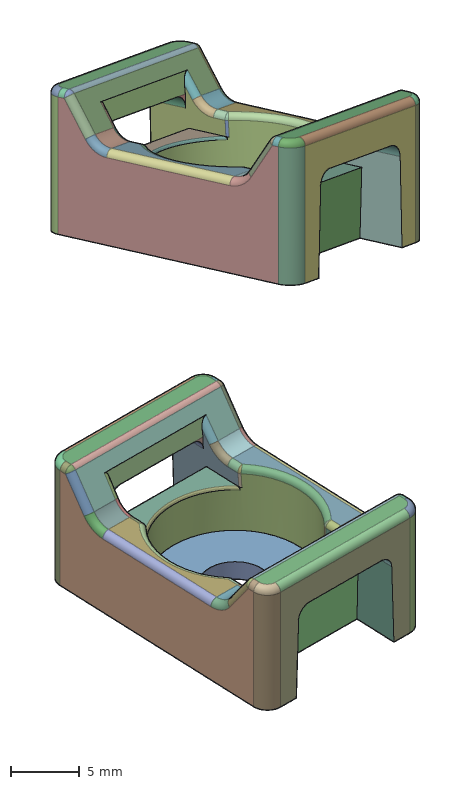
import cadquery as cq
import math

length = 23.1
width = 15.75
height = 11.0
corner_radius = 1.39
edge_round = 0.58

deck_height = 7.23
ramp_foot_x = 6.63
ramp_top_x = 9.31
ramp_foot_radius = 1.85

slot_width_at_base = 9.8
slot_height = 8.05
slot_draft = 1.8
slot_corner_radius = 1.1
block_length = 15.95
block_length_at_base = 15.35
block_height = 5.48
pocket_length_at_base = 16.5
pocket_draft = 5.5
deck_opening_round = 0.5

bore_diameter = 12.96
bore_floor_height = 1.6
screw_hole_diameter = 5.34
block_rim_round = 0.2
bore_mouth_round = 0.35

TOLERANCE = 0.012
BORE_TOLERANCE = 0.05


def make_body():
    """Rounded box with a ramped saddle across its top."""
    body = cq.Workplane("XY").box(length, width, height, centered=(True, True, False))
    body = body.edges("|Z").fillet(corner_radius)
    saddle = (
        cq.Workplane("XZ")
        .polyline([
            (-ramp_top_x, height),
            (-ramp_foot_x, deck_height),
            (ramp_foot_x, deck_height),
            (ramp_top_x, height),
        ])
        .close()
        .extrude(width / 2, both=True)
        .edges("|Y and <Z")
        .fillet(ramp_foot_radius)
    )
    return body.cut(saddle)


def make_block_rim_cut():
    """Ring that rounds the bore rim on the block, kept between the channel sides."""
    bore_radius = bore_diameter / 2
    arc_center_x = bore_radius + block_rim_round
    arc_center_z = block_height - block_rim_round
    diagonal = block_rim_round * math.sqrt(0.5)
    ring = (
        cq.Workplane("XZ")
        .moveTo(bore_radius, arc_center_z)
        .threePointArc((arc_center_x - diagonal, arc_center_z + diagonal), (arc_center_x, block_height))
        .lineTo(bore_radius, block_height)
        .close()
        .revolve(360, (0, 0, 0), (0, 1, 0))
    )
    return ring.intersect(slot_prism(height))


def is_outer_top_edge(edge):
    """True for the rim of the end walls and the long edges of the saddle."""
    center = edge.Center()
    on_wall_top = center.z > height - TOLERANCE
    on_long_side = abs(center.y) > width / 2 - TOLERANCE and center.z > deck_height - TOLERANCE
    is_upright = edge.geomType() == "LINE" and abs(edge.tangentAt(0).z) > 0.23 - TOLERANCE
    return (on_wall_top or on_long_side) and not is_upright


def trapezoid_prism(plane, base_half, top_half, base_height, top_height, depth):
    """Symmetric trapezoid in an upright plane, extruded evenly to both sides of it."""
    return (
        cq.Workplane(plane)
        .polyline([
            (-base_half, base_height),
            (base_half, base_height),
            (top_half, top_height),
            (-top_half, top_height),
        ])
        .close()
        .extrude(depth / 2, both=True)
    )


def slot_prism(prism_height):
    """Channel along the full length whose sides lean inward with the slot draft."""
    base_half = slot_width_at_base / 2
    top_half = base_half - prism_height * math.tan(math.radians(slot_draft))
    return trapezoid_prism("YZ", base_half, top_half, 0, prism_height, length)


def make_channel():
    """Space for the cable tie: through both end walls and open above the block."""
    through_slot = slot_prism(slot_height).edges("|X and >Z").fillet(slot_corner_radius)
    pocket_base_half = pocket_length_at_base / 2
    pocket_top_half = pocket_base_half + (height - slot_height) * math.tan(math.radians(pocket_draft))
    pocket_ends = trapezoid_prism("XZ", pocket_base_half, pocket_top_half, slot_height, height, width)
    pocket_foot = trapezoid_prism("XZ", pocket_base_half, pocket_base_half, 0, slot_height, width)
    pocket = slot_prism(height).intersect(pocket_ends.union(pocket_foot))
    block = trapezoid_prism("XZ", block_length_at_base / 2, block_length / 2, 0, block_height, width)
    return through_slot.union(pocket).cut(block)


def make_bore():
    depth = height - bore_floor_height
    return cq.Workplane("XY").workplane(offset=bore_floor_height).circle(bore_diameter / 2).extrude(depth)


def is_deck_opening_edge(edge):
    """True where the channel sides and the bore break through the saddle surface."""
    center = edge.Center()
    box = edge.BoundingBox()
    inside_walls = abs(center.x) < pocket_length_at_base / 2 - TOLERANCE
    inside_sides = abs(center.y) < bore_diameter / 2 + TOLERANCE
    along_x = box.xlen > TOLERANCE
    return inside_walls and inside_sides and along_x and box.zmin > deck_height - TOLERANCE


def is_bore_mouth_edge(edge):
    """True for the upright edges where the channel sides meet the bore."""
    center = edge.Center()
    on_bore = abs(math.hypot(center.x, center.y) - bore_diameter / 2) < BORE_TOLERANCE
    above_block = edge.BoundingBox().zmin > block_height - TOLERANCE
    return on_bore and above_block and edge.BoundingBox().zlen > deck_height - block_height - TOLERANCE


def fillet_where(part, condition, radius):
    chosen = [edge for edge in part.edges().vals() if condition(edge)]
    return part.newObject(chosen).fillet(radius)


result = fillet_where(make_body(), is_outer_top_edge, edge_round)
result = result.cut(make_channel()).cut(make_bore())
result = fillet_where(result, is_bore_mouth_edge, bore_mouth_round)
result = fillet_where(result, is_deck_opening_edge, deck_opening_round)
result = result.cut(make_block_rim_cut())
result = result.cut(cq.Workplane("XY").circle(screw_hole_diameter / 2).extrude(height))